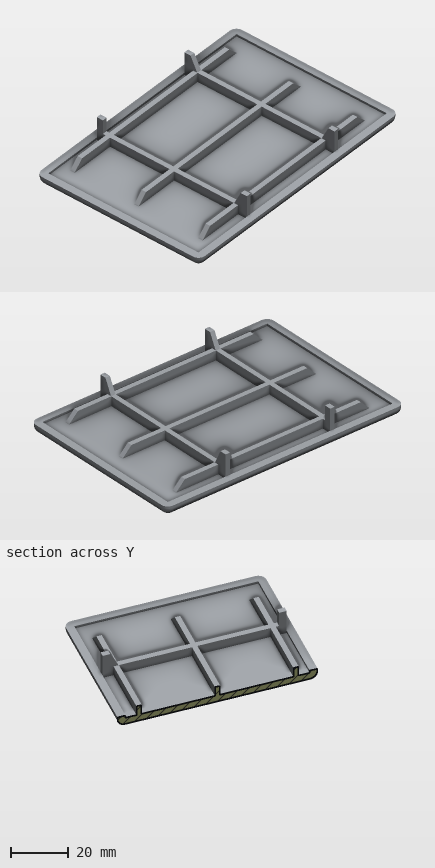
import cadquery as cq

plate_width = 74.0
plate_length = 107.0
plate_thickness = 4.0
edge_radius = 3.0

rim_width = 3.0
floor_height = 3.0
recess_width = plate_width - 2 * rim_width
recess_length = plate_length - 2 * rim_width

rib_thickness = 2.0
rib_top = 7.0
long_rib_spacing = 29.0
long_rib_length = 87.0
long_rib_end_slope = 4.0
cross_rib_offset = 23.5

post_top = 13.0
post_top_width = 2.8
post_slope_width = 3.0


def make_plate():
    """Plate with rounded corners, a rounded lower edge and the recess."""
    plate = (
        cq.Workplane("XY")
        .box(plate_width, plate_length, plate_thickness, centered=(True, True, False))
        .edges("|Z or <Z")
        .fillet(edge_radius)
    )
    recess = (
        cq.Workplane("XY")
        .workplane(offset=floor_height)
        .rect(recess_width, recess_length)
        .extrude(plate_thickness - floor_height)
    )
    return plate.cut(recess)


def make_long_rib(x_center):
    """Rib along Y whose two ends slope down to the recess floor."""
    foot_y = long_rib_length / 2
    crest_y = foot_y - long_rib_end_slope
    profile = [
        (-foot_y, floor_height),
        (foot_y, floor_height),
        (crest_y, rib_top),
        (-crest_y, rib_top),
    ]
    return (
        cq.Workplane("YZ")
        .workplane(offset=x_center - rib_thickness / 2)
        .polyline(profile)
        .close()
        .extrude(rib_thickness)
    )


def make_cross_rib(y_center):
    """Rib along X from wall to wall of the recess."""
    return (
        cq.Workplane("XY")
        .workplane(offset=floor_height)
        .center(0, y_center)
        .rect(recess_width, rib_thickness)
        .extrude(rib_top - floor_height)
    )


def make_post(x_side, y_center, tapered):
    """Post against the recess wall on the given X side (-1 or 1), with an optional sloped inner buttress."""
    outer_x = x_side * recess_width / 2
    inner_x = outer_x - x_side * post_top_width
    foot_x = inner_x - x_side * post_slope_width if tapered else inner_x
    profile = [
        (outer_x, rib_top),
        (outer_x, post_top),
        (inner_x, post_top),
        (foot_x, rib_top),
    ]
    return (
        cq.Workplane("XZ", origin=(0, y_center, 0))
        .polyline(profile)
        .close()
        .extrude(rib_thickness / 2, both=True)
    )


result = make_plate()
for rib_x in (-long_rib_spacing, 0, long_rib_spacing):
    result = result.union(make_long_rib(rib_x))
for y_side in (-1, 1):
    rib_y = y_side * cross_rib_offset
    result = result.union(make_cross_rib(rib_y))
    for x_side in (-1, 1):
        is_tapered = x_side > 0 or y_side > 0
        result = result.union(make_post(x_side, rib_y, is_tapered))